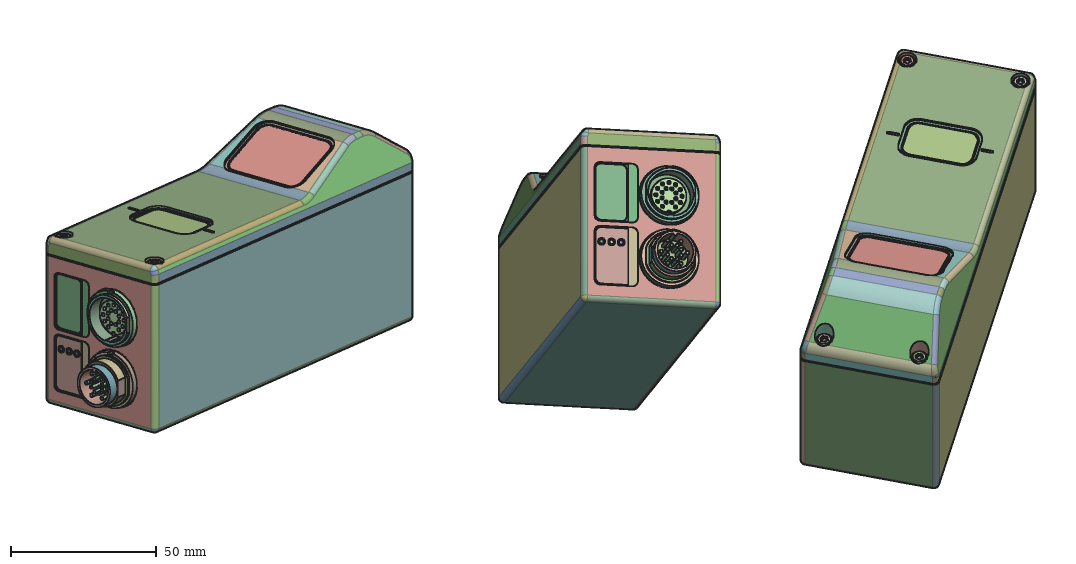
import cadquery as cq
import math


WIDTH = 49.0
LENGTH = 142.0
HEIGHT = 75.0
DECK_Z = 61.5
DECK_END_Y = 84.5
CREST_FRONT_Y = 112.2
CREST_BACK_Y = 122.8
HUMP_RADIUS = 12.5
BACK_RADIUS = 4.7
EDGE_RADIUS = 2.0
TAPER_Z = 58.6
TAPER_ANGLE = math.radians(16)
SEAM_Z = 55.0
SEAM_HEIGHT = 0.5
SEAM_DEPTH = 0.2
RAMP_ANGLE = math.degrees(math.atan2(HEIGHT - DECK_Z, CREST_FRONT_Y - DECK_END_Y))

RIM_WIDTH = 1.0
RIM_DEPTH = 0.8
GLASS_GAP = 0.5
RAMP_WINDOW = (34.5, 26.3)
RAMP_WINDOW_Y = 98.2
RAMP_WINDOW_RADIUS = 5.2
DECK_WINDOW = (27.5, 17.5)
DECK_WINDOW_Y = 39.2
DECK_WINDOW_RADIUS = 4.9
TICK_LENGTH = 4.3
TICK_WIDTH = 0.9
TICK_X = 16.6
TICK_DEPTH = 0.2

COUNTERBORE_RADIUS = 3.2
HEAD_RADIUS = 2.7
HEAD_CHAMFER = 0.5
HEAD_HEIGHT = 1.5
FRONT_COUNTERBORE_DEPTH = 2.0
BACK_COUNTERBORE_DEPTH = 3.7
SOCKET_ACROSS_CORNERS = 2.7
SOCKET_DEPTH = 0.6
SOCKET_POINT_RADIUS = 0.8
SOCKET_POINT_DEPTH = 0.6
FRONT_SCREW = (20.0, 5.2)
BACK_SCREW = (16.8, 137.3)

PANEL_LEFT_X = -20.0
PANEL_WIDTH = 15.3
PANEL_HEIGHT = 20.9
PANEL_RADIUS = 2.1
PANEL_DEPTH = 0.2
SCREEN_INSET = 0.5
SCREEN_WIDTH = 11.5
SCREEN_DEPTH = 0.5
SCREEN_RADIUS = 1.8
DISPLAY_WIDTH = 11.0
DISPLAY_DEPTH = 0.8
DISPLAY_Z = 39.0
INDICATOR_Z = 16.3
LED_X = (-17.4, -13.9, -10.5)
LED_Z = 21.4
LED_RADIUS = 1.2
LED_CORE_RADIUS = 0.8
LED_DEPTH = 0.8

CONNECTOR_X = 6.1
SOCKET_Z = 38.8
PLUG_Z = 16.3
SEAT_RADIUS = 10.4
SEAT_DEPTH = 0.8
FLANGE_RADIUS = 10.1
FLANGE_REACH = 1.8
COLLAR_RADIUS = 9.0
COLLAR_HALF_FLATS = 8.5
SOCKET_REACH = 3.2
SOCKET_BORE_RADIUS = 8.0
SOCKET_BORE_DEPTH = 5.5
INSERT_RADIUS = 6.1
INSERT_HEIGHT = 2.3
PLUG_COLLAR_REACH = 2.7
PLUG_BODY_RADIUS = 8.1
PLUG_BODY_HALF_FLATS = 7.5
PLUG_BODY_REACH = 6.9
PLUG_TIP_RADIUS = 7.2
PLUG_REACH = 10.7
PLUG_BORE_RADIUS = 6.3
PLUG_BORE_DEPTH = 9.2
PIN_LENGTH = 7.6
CONTACT_RADIUS = 0.6
CONTACT_DEPTH = 1.5
OUTER_RING_RADIUS = 4.6
INNER_RING_RADIUS = 2.6
KEY_RADIUS = 0.8
SOCKET_KEY_WIDTH = 2.1
SOCKET_KEY_HEIGHT = 0.3
NOTCH_WIDTH = 2.0
NOTCH_DEPTH = 1.0

OVERLAP = 0.8
TOLERANCE = 0.02


def hull():
    """Side profile swept across the width, with leaning upper sides and rounded edges."""
    profile = (
        cq.Workplane("YZ")
        .polyline([
            (0, 0), (LENGTH, 0), (LENGTH, DECK_Z), (CREST_BACK_Y, HEIGHT),
            (CREST_FRONT_Y, HEIGHT), (DECK_END_Y, DECK_Z), (0, DECK_Z),
        ])
        .close()
        .extrude(WIDTH / 2, both=True)
    )
    hump_corners = [(CREST_BACK_Y, HEIGHT), (CREST_FRONT_Y, HEIGHT), (DECK_END_Y, DECK_Z)]
    for y, z in hump_corners:
        profile = profile.edges(cq.selectors.NearestToPointSelector((0, y, z))).fillet(HUMP_RADIUS)
    profile = profile.edges(cq.selectors.NearestToPointSelector((0, LENGTH, DECK_Z))).fillet(BACK_RADIUS)

    half = WIDTH / 2
    lean = (HEIGHT - TAPER_Z) * math.tan(TAPER_ANGLE)
    envelope = (
        cq.Workplane("XZ")
        .polyline([
            (-half, 0), (half, 0), (half, TAPER_Z), (half - lean, HEIGHT),
            (lean - half, HEIGHT), (-half, TAPER_Z),
        ])
        .close()
        .extrude(-LENGTH)
    )
    body = profile.intersect(envelope)

    def is_rounded(edge):
        center = edge.Center()
        box = edge.BoundingBox()
        across = box.xlen > WIDTH / 2
        along_taper_start = abs(center.z - TAPER_Z) < TOLERANCE and box.zlen < TOLERANCE
        at_end = center.y < TOLERANCE or center.z < TOLERANCE
        return not along_taper_start and (at_end or not across)

    rounded = [edge for edge in body.edges().vals() if is_rounded(edge)]
    return body.newObject(rounded).fillet(EDGE_RADIUS)


def seam_groove():
    outer = cq.Workplane("XY").box(WIDTH + OVERLAP, LENGTH + OVERLAP, SEAM_HEIGHT)
    core = (
        cq.Workplane("XY")
        .box(WIDTH - 2 * SEAM_DEPTH, LENGTH - 2 * SEAM_DEPTH, SEAM_HEIGHT)
        .edges("|Z")
        .fillet(EDGE_RADIUS - SEAM_DEPTH)
    )
    return outer.cut(core).translate((0, LENGTH / 2, SEAM_Z))


def rounded_prism(width, height, radius, depth):
    """Rounded rectangle reaching from OVERLAP above the XY plane to depth below it."""
    return (
        cq.Workplane("XY")
        .workplane(offset=-depth)
        .rect(width, height)
        .extrude(depth + OVERLAP)
        .edges("|Z")
        .fillet(radius)
    )


def window_recess(size, radius):
    """Sunken rim with a narrow gap around the glass, which is level with the rim."""
    width, height = size

    def inset_prism(inset, depth):
        return rounded_prism(width - 2 * inset, height - 2 * inset, radius - inset, depth)

    gap = inset_prism(RIM_WIDTH, RIM_DEPTH + GLASS_GAP)
    glass = inset_prism(RIM_WIDTH + GLASS_GAP, RIM_DEPTH + GLASS_GAP)
    return gap.cut(glass).union(inset_prism(0, RIM_DEPTH))


def ramp_window():
    z = DECK_Z + (RAMP_WINDOW_Y - DECK_END_Y) * math.tan(math.radians(RAMP_ANGLE))
    recess = window_recess(RAMP_WINDOW, RAMP_WINDOW_RADIUS)
    return recess.rotate((0, 0, 0), (1, 0, 0), RAMP_ANGLE).translate((0, RAMP_WINDOW_Y, z))


def deck_window():
    ticks = (
        cq.Workplane("XY")
        .pushPoints([(-TICK_X, 0), (TICK_X, 0)])
        .slot2D(TICK_LENGTH, TICK_WIDTH)
        .extrude(-TICK_DEPTH)
    )
    recess = window_recess(DECK_WINDOW, DECK_WINDOW_RADIUS)
    return recess.union(ticks).translate((0, DECK_WINDOW_Y, DECK_Z))


def add_screw(body, x, y, floor_z):
    """Counterbore with a socket-head screw standing on its floor."""
    floor = cq.Workplane("XY").workplane(offset=floor_z).center(x, y)
    bore = floor.circle(COUNTERBORE_RADIUS).extrude(HEIGHT)
    socket_floor = floor.workplane(offset=HEAD_HEIGHT - SOCKET_DEPTH)
    socket = socket_floor.polygon(6, SOCKET_ACROSS_CORNERS).extrude(HEIGHT)
    point = cq.Workplane(
        cq.Solid.makeCone(
            SOCKET_POINT_RADIUS, 0, SOCKET_POINT_DEPTH,
            cq.Vector(x, y, floor_z + HEAD_HEIGHT - SOCKET_DEPTH), cq.Vector(0, 0, -1),
        )
    )
    head = floor.workplane(offset=-OVERLAP).circle(HEAD_RADIUS).extrude(HEAD_HEIGHT + OVERLAP)
    head = head.faces(">Z").chamfer(HEAD_CHAMFER)
    return body.cut(bore).union(head.cut(socket).cut(point))


def add_screws(body):
    back_x, back_y = BACK_SCREW
    back_slope = (HEIGHT - DECK_Z) / (LENGTH - CREST_BACK_Y)
    back_z = DECK_Z + (LENGTH - back_y) * back_slope
    front_x, front_y = FRONT_SCREW
    for side in (-1, 1):
        body = add_screw(body, side * front_x, front_y, DECK_Z - FRONT_COUNTERBORE_DEPTH)
        body = add_screw(body, side * back_x, back_y, back_z - BACK_COUNTERBORE_DEPTH)
    return body


def face_plane(x, z, reach=0):
    """Plane parallel to the connector face, reach in front of it, looking outwards."""
    return cq.Workplane("XZ", origin=(x, -reach, z))


def panel(z):
    center_x = PANEL_LEFT_X + PANEL_WIDTH / 2
    plate = face_plane(center_x, z).rect(PANEL_WIDTH, PANEL_HEIGHT).extrude(-PANEL_DEPTH)
    return plate.edges("|Y").fillet(PANEL_RADIUS)


def field(z, width, depth, rounded_edges):
    """Deeper field at the left of a panel, leaving its label strip at the right."""
    center_x = PANEL_LEFT_X + SCREEN_INSET + width / 2
    height = PANEL_HEIGHT - 2 * SCREEN_INSET
    block = face_plane(center_x, z).rect(width, height).extrude(-depth)
    return block.edges(rounded_edges).fillet(SCREEN_RADIUS)


def indicator_rings():
    return (
        face_plane(0, LED_Z)
        .pushPoints([(x, 0) for x in LED_X])
        .circle(LED_RADIUS)
        .circle(LED_CORE_RADIUS)
        .extrude(-LED_DEPTH)
    )


def disc(z, radius, reach, half_flats=None):
    """Round boss from inside the face out to reach, optionally with two flats facing +X and -X."""
    boss = face_plane(CONNECTOR_X, z, reach).circle(radius).extrude(-(reach + 2 * SEAT_DEPTH))
    if half_flats is None:
        return boss
    flats = face_plane(CONNECTOR_X, z, reach).rect(2 * half_flats, 2 * radius)
    return boss.intersect(flats.extrude(-(reach + 2 * SEAT_DEPTH)))


def ring_points(radius, angles):
    return [
        (radius * math.cos(math.radians(angle)), radius * math.sin(math.radians(angle)))
        for angle in angles
    ]


INNER_CONTACTS = ring_points(INNER_RING_RADIUS, [22.5 + 45 * i for i in range(8)])
SOCKET_CONTACTS = INNER_CONTACTS + ring_points(OUTER_RING_RADIUS, [30 * i - 60 for i in range(11)])
PLUG_CONTACTS = INNER_CONTACTS + ring_points(OUTER_RING_RADIUS, [60 * i for i in range(6)])


def flange(z):
    """Mounting flange with a notch in the upper part of its outer edge."""
    notch = (
        face_plane(CONNECTOR_X, z + FLANGE_RADIUS, FLANGE_REACH)
        .rect(NOTCH_WIDTH, 2 * (FLANGE_RADIUS - COLLAR_RADIUS))
        .extrude(-NOTCH_DEPTH)
    )
    return disc(z, FLANGE_RADIUS, FLANGE_REACH).cut(notch)


def seat_recess(z):
    return face_plane(CONNECTOR_X, z).circle(SEAT_RADIUS).extrude(-SEAT_DEPTH)


def add_socket(body):
    """Female connector: wide bore around a raised insert with contact holes."""
    z = SOCKET_Z
    collar = disc(z, COLLAR_RADIUS, SOCKET_REACH, COLLAR_HALF_FLATS)
    body = body.cut(seat_recess(z)).union(flange(z)).union(collar)

    bore = face_plane(CONNECTOR_X, z, SOCKET_REACH).circle(SOCKET_BORE_RADIUS).extrude(-SOCKET_BORE_DEPTH)
    key = (
        face_plane(CONNECTOR_X, z - SOCKET_BORE_RADIUS, SOCKET_REACH)
        .rect(SOCKET_KEY_WIDTH, 2 * SOCKET_KEY_HEIGHT)
        .extrude(-SOCKET_BORE_DEPTH)
    )
    body = body.cut(bore.cut(key))

    insert_reach = SOCKET_REACH - SOCKET_BORE_DEPTH + INSERT_HEIGHT
    insert_plane = face_plane(CONNECTOR_X, z, insert_reach)
    insert = insert_plane.circle(INSERT_RADIUS).extrude(-(INSERT_HEIGHT + OVERLAP))
    keyway = insert_plane.center(0, -INSERT_RADIUS).circle(KEY_RADIUS).extrude(-INSERT_HEIGHT)
    holes = insert_plane.pushPoints(SOCKET_CONTACTS).circle(CONTACT_RADIUS).extrude(-CONTACT_DEPTH)
    return body.union(insert.cut(keyway).cut(holes))


def add_plug(body):
    """Male connector: stepped barrel with contact pins inside."""
    z = PLUG_Z
    body = body.cut(seat_recess(z)).union(flange(z))
    body = body.union(disc(z, COLLAR_RADIUS, PLUG_COLLAR_REACH, COLLAR_HALF_FLATS))
    body = body.union(disc(z, PLUG_BODY_RADIUS, PLUG_BODY_REACH, PLUG_BODY_HALF_FLATS))
    body = body.union(disc(z, PLUG_TIP_RADIUS, PLUG_REACH))

    bore = face_plane(CONNECTOR_X, z, PLUG_REACH).circle(PLUG_BORE_RADIUS).extrude(-PLUG_BORE_DEPTH)
    key = (
        face_plane(CONNECTOR_X, z + PLUG_BORE_RADIUS, PLUG_REACH)
        .circle(KEY_RADIUS)
        .extrude(-PLUG_BORE_DEPTH)
    )
    body = body.cut(bore.cut(key))

    pin_reach = PLUG_REACH - PLUG_BORE_DEPTH + PIN_LENGTH
    pins = (
        face_plane(CONNECTOR_X, z, pin_reach)
        .pushPoints(PLUG_CONTACTS)
        .circle(CONTACT_RADIUS)
        .extrude(-(PIN_LENGTH + OVERLAP))
    )
    return body.union(pins)


result = hull().cut(seam_groove()).cut(ramp_window()).cut(deck_window())
result = add_screws(result)
for panel_z in (DISPLAY_Z, INDICATOR_Z):
    result = result.cut(panel(panel_z))
    result = result.cut(field(panel_z, SCREEN_WIDTH, SCREEN_DEPTH, "|Y and <X"))
result = result.cut(field(DISPLAY_Z, DISPLAY_WIDTH, DISPLAY_DEPTH, "|Y"))
result = result.cut(indicator_rings())
result = add_socket(result)
result = add_plug(result)